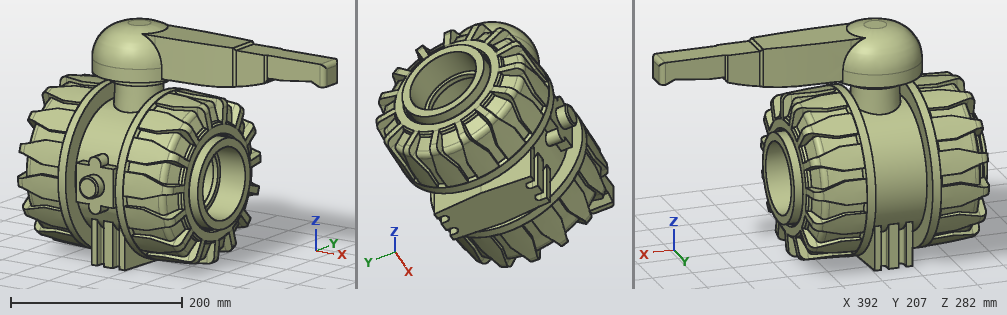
import cadquery as cq
import math


BARREL_RADIUS = 81.0
BARREL_HALF_LENGTH = 78.5
BORE_RADIUS = 38.8
NECK_BASE_RADIUS = 31.0
NECK_BASE_Z = 58.8
NECK_TOP_RADIUS = 28.2
NECK_TOP_Z = 109.5

PAD_HALF_WIDTH = 26.3
PAD_HALF_HEIGHT = 23.5
PAD_FACE_Y = -92.0
LOBE_RADIUS = 8.5
LOBE_CENTRE_Z = 26.0
BUTTON_RADIUS = 13.5
BUTTON_END_Y = -106.0
BUTTON_CHAMFER = 2.0

FOOT_BOTTOM_Z = -105.0
FOOT_HALF_LENGTH = 64.3
FOOT_END_HALF_WIDTH = 23.5
FOOT_MIDDLE_HALF_WIDTH = 27.5
SLOT_CENTRE_X = 11.0
SLOT_RADIUS = 4.7
SLOT_DEPTH = 12.5

NUT_INNER_X = 35.3
FLANGE_OUTER_X = 46.0
NUT_END_X = 110.5
FLANGE_RADIUS = 101.0
FLOOR_START_X = 48.5
FLOOR_START_RADIUS = 97.0
FLOOR_ROUND_X = 91.0
FLOOR_ROUND_RADIUS = 94.0
FLOOR_CORNER_X = 96.5
FLOOR_CORNER_RADIUS = 92.0
FLOOR_CONE_X = 98.5
FLOOR_CONE_RADIUS = 88.0
END_RING_BASE_X = 104.5
END_RING_BASE_RADIUS = 73.0
END_RING_BEVEL_X = 108.0
END_RING_BEVEL_RADIUS = 71.7
END_FACE_RADIUS = 69.5
RIB_START_RADIUS = 100.5
RIB_ROUND_X = 99.0
RIB_ROUND_RADIUS = 98.5
RIB_CORNER_X = 106.0
RIB_CORNER_RADIUS = 96.0
RIB_FACE_X = 109.0
RIB_FACE_RADIUS = 89.5
NUT_BORE_RADIUS = 56.5
NUT_BORE_CHAMFER = 2.0
NUT_SHOULDER_X = 90.0

RIB_COUNT = 15
RIB_WIDE_HALF_WIDTH = 14.5
RIB_TAPER_START_X = 71.7
RIB_TAPER_END_X = 99.0
RIB_NARROW_HALF_WIDTH = 6.0
RIB_TIP_HALF_WIDTH = 4.5

CONNECTOR_END_X = 120.0
CONNECTOR_RADIUS = 54.5
SOCKET_RADIUS = 44.0
SOCKET_DEPTH = 35.3

HUB_RADIUS = 35.3
DOME_RADIUS = 55.2
DOME_BASE_Z = 118.7
DOME_SPRING_Z = 135.0
DOME_TOP_Z = 177.0
DOME_FLAT_RADIUS = 13.5

LEVER_START_X = 19.5
LEVER_TAPER_X = 39.0
LEVER_STEP_START_X = 146.0
LEVER_STEP_END_X = 149.5
GRIP_STEP_START_X = 189.2
GRIP_STEP_END_X = 192.0
LEVER_END_X = 272.0
LEVER_ROOT_HALF_WIDTH = 25.5
LEVER_STEP_HALF_WIDTH = 20.0
LEVER_MIDDLE_HALF_WIDTH = 18.5
GRIP_HALF_WIDTH = 16.0
LEVER_TOP_Z = 172.0
GRIP_TOP_Z = 169.3
LEVER_BOTTOM_Z = 121.5
BELLY_START_X = 105.8
BELLY_STEP_Z = 125.5
BELLY_END_Z = 135.0
GRIP_STEP_Z = 138.7
GRIP_BOTTOM_Z = 141.5
GRIP_HOLLOW_START_X = 211.5
GRIP_HOLLOW_X = 254.3
GRIP_HOLLOW_Z = 146.5
GRIP_LIP_X = 265.5
TIP_ROUND = 6.0


def x_cylinder(radius, start_x, end_x):
    return cq.Workplane("YZ", origin=(start_x, 0, 0)).circle(radius).extrude(end_x - start_x)


def make_pad():
    """Square pad with a round lobe above and below, and a button on its face."""
    depth = -PAD_FACE_Y
    plane = cq.Workplane("XZ")
    pad = plane.rect(2 * PAD_HALF_WIDTH, 2 * PAD_HALF_HEIGHT).extrude(depth)
    lobes = plane.pushPoints([(0, LOBE_CENTRE_Z), (0, -LOBE_CENTRE_Z)]).circle(LOBE_RADIUS).extrude(depth)
    button = plane.circle(BUTTON_RADIUS).extrude(-BUTTON_END_Y).faces("<Y").chamfer(BUTTON_CHAMFER)
    return pad.union(lobes).union(button)


def make_foot():
    """Foot that narrows towards both ends, with two round-bottomed slots in each end."""
    foot = (
        cq.Workplane("XY", origin=(0, 0, FOOT_BOTTOM_Z))
        .moveTo(FOOT_END_HALF_WIDTH, FOOT_HALF_LENGTH)
        .lineTo(FOOT_MIDDLE_HALF_WIDTH, 0)
        .lineTo(FOOT_END_HALF_WIDTH, -FOOT_HALF_LENGTH)
        .lineTo(-FOOT_END_HALF_WIDTH, -FOOT_HALF_LENGTH)
        .lineTo(-FOOT_MIDDLE_HALF_WIDTH, 0)
        .lineTo(-FOOT_END_HALF_WIDTH, FOOT_HALF_LENGTH)
        .close()
        .extrude(-FOOT_BOTTOM_Z)
    )
    slots = (
        cq.Workplane("XY", origin=(0, 0, FOOT_BOTTOM_Z))
        .rarray(2 * SLOT_CENTRE_X, 2 * FOOT_HALF_LENGTH, 2, 2)
        .slot2D(2 * SLOT_DEPTH, 2 * SLOT_RADIUS, 90)
        .extrude(-FOOT_BOTTOM_Z)
    )
    return foot.cut(slots)


def make_housing():
    """Barrel with a conical neck, the mounting pad and the foot, bored through along X."""
    neck = (
        cq.Workplane("XZ")
        .polyline([
            (0, NECK_BASE_Z),
            (NECK_BASE_RADIUS, NECK_BASE_Z),
            (NECK_TOP_RADIUS, NECK_TOP_Z),
            (0, NECK_TOP_Z),
        ])
        .close()
        .revolve(360, (0, 0, 0), (0, 1, 0))
    )
    barrel = x_cylinder(BARREL_RADIUS, -BARREL_HALF_LENGTH, BARREL_HALF_LENGTH)
    bore = x_cylinder(BORE_RADIUS, -BARREL_HALF_LENGTH, BARREL_HALF_LENGTH)
    return barrel.union(neck).union(make_pad()).union(make_foot()).cut(bore)


def make_nut_core():
    """Flange, groove floor, end cone and end ring, turned about the bore axis."""
    return (
        cq.Workplane("XY")
        .moveTo(NUT_INNER_X, 0)
        .lineTo(NUT_INNER_X, FLANGE_RADIUS)
        .lineTo(FLANGE_OUTER_X, FLANGE_RADIUS)
        .lineTo(FLOOR_START_X, FLOOR_START_RADIUS)
        .lineTo(FLOOR_ROUND_X, FLOOR_ROUND_RADIUS)
        .threePointArc((FLOOR_CORNER_X, FLOOR_CORNER_RADIUS), (FLOOR_CONE_X, FLOOR_CONE_RADIUS))
        .lineTo(END_RING_BASE_X, END_RING_BASE_RADIUS)
        .lineTo(END_RING_BEVEL_X, END_RING_BEVEL_RADIUS)
        .lineTo(NUT_END_X, END_FACE_RADIUS)
        .lineTo(NUT_END_X, 0)
        .close()
        .revolve(360, (0, 0, 0), (1, 0, 0))
    )


def make_ribs():
    """Leaf-shaped grip ribs, wide beside the flange and narrow over the nut's end."""
    envelope = (
        cq.Workplane("XY")
        .moveTo(NUT_INNER_X, NUT_BORE_RADIUS)
        .lineTo(NUT_INNER_X, RIB_START_RADIUS)
        .lineTo(FLANGE_OUTER_X, RIB_START_RADIUS)
        .lineTo(RIB_ROUND_X, RIB_ROUND_RADIUS)
        .threePointArc((RIB_CORNER_X, RIB_CORNER_RADIUS), (RIB_FACE_X, RIB_FACE_RADIUS))
        .lineTo(NUT_END_X, END_FACE_RADIUS)
        .lineTo(NUT_END_X, NUT_BORE_RADIUS)
        .close()
        .revolve(360, (0, 0, 0), (1, 0, 0))
    )
    leaf = (
        cq.Workplane("XY")
        .polyline([
            (NUT_INNER_X, -RIB_WIDE_HALF_WIDTH),
            (RIB_TAPER_START_X, -RIB_WIDE_HALF_WIDTH),
            (RIB_TAPER_END_X, -RIB_NARROW_HALF_WIDTH),
            (NUT_END_X, -RIB_TIP_HALF_WIDTH),
            (NUT_END_X, RIB_TIP_HALF_WIDTH),
            (RIB_TAPER_END_X, RIB_NARROW_HALF_WIDTH),
            (RIB_TAPER_START_X, RIB_WIDE_HALF_WIDTH),
            (NUT_INNER_X, RIB_WIDE_HALF_WIDTH),
        ])
        .close()
        .extrude(-FLANGE_RADIUS)
    )
    rib = leaf.intersect(envelope)
    pitch = 360 / RIB_COUNT
    return [rib.rotate((0, 0, 0), (1, 0, 0), index * pitch) for index in range(RIB_COUNT)]


def make_nut():
    """Union nut on the +X side, with one rib at its bottom."""
    nut = make_nut_core()
    for rib in make_ribs():
        nut = nut.union(rib)
    opening = (
        cq.Workplane("XY")
        .polyline([
            (NUT_INNER_X, 0),
            (NUT_INNER_X, BARREL_RADIUS),
            (NUT_SHOULDER_X, BARREL_RADIUS),
            (NUT_SHOULDER_X, NUT_BORE_RADIUS),
            (NUT_END_X - NUT_BORE_CHAMFER, NUT_BORE_RADIUS),
            (NUT_END_X, NUT_BORE_RADIUS + NUT_BORE_CHAMFER),
            (NUT_END_X, 0),
        ])
        .close()
        .revolve(360, (0, 0, 0), (1, 0, 0))
    )
    return nut.cut(opening)


def make_connector():
    """Pipe connector on the +X side: a collar held by the nut and a socketed spigot."""
    collar = x_cylinder(BARREL_RADIUS, BARREL_HALF_LENGTH, NUT_SHOULDER_X)
    spigot = x_cylinder(CONNECTOR_RADIUS, BARREL_HALF_LENGTH, CONNECTOR_END_X)
    bore = x_cylinder(BORE_RADIUS, BARREL_HALF_LENGTH, CONNECTOR_END_X)
    socket = x_cylinder(SOCKET_RADIUS, CONNECTOR_END_X - SOCKET_DEPTH, CONNECTOR_END_X)
    return collar.union(spigot).cut(bore).cut(socket)


def make_dome():
    """Hub and domed cap, turned about the stem axis."""
    dome_round = DOME_RADIUS - DOME_FLAT_RADIUS
    dome_height = DOME_TOP_Z - DOME_SPRING_Z
    middle = math.sqrt(0.5)
    return (
        cq.Workplane("XZ")
        .moveTo(0, NECK_TOP_Z)
        .lineTo(HUB_RADIUS, NECK_TOP_Z)
        .lineTo(HUB_RADIUS, DOME_BASE_Z)
        .lineTo(DOME_RADIUS, DOME_BASE_Z)
        .lineTo(DOME_RADIUS, DOME_SPRING_Z)
        .threePointArc(
            (DOME_FLAT_RADIUS + dome_round * middle, DOME_SPRING_Z + dome_height * middle),
            (DOME_FLAT_RADIUS, DOME_TOP_Z),
        )
        .lineTo(0, DOME_TOP_Z)
        .close()
        .revolve(360, (0, 0, 0), (0, 1, 0))
    )


def make_lever():
    """Lever shaped by its side outline and its plan outline together."""
    side = (
        cq.Workplane("XZ")
        .moveTo(LEVER_START_X, LEVER_TOP_Z)
        .lineTo(LEVER_STEP_START_X, LEVER_TOP_Z)
        .lineTo(LEVER_STEP_END_X, GRIP_TOP_Z)
        .lineTo(LEVER_END_X, GRIP_TOP_Z)
        .lineTo(LEVER_END_X, GRIP_BOTTOM_Z)
        .lineTo(GRIP_LIP_X, GRIP_BOTTOM_Z)
        .lineTo(GRIP_HOLLOW_X, GRIP_HOLLOW_Z)
        .lineTo(GRIP_HOLLOW_START_X, GRIP_BOTTOM_Z)
        .lineTo(GRIP_STEP_END_X, GRIP_BOTTOM_Z)
        .lineTo(GRIP_STEP_END_X, GRIP_STEP_Z)
        .lineTo(GRIP_STEP_START_X, BELLY_END_Z)
        .threePointArc((LEVER_STEP_END_X, BELLY_STEP_Z), (BELLY_START_X, LEVER_BOTTOM_Z))
        .lineTo(LEVER_START_X, LEVER_BOTTOM_Z)
        .close()
        .extrude(LEVER_ROOT_HALF_WIDTH, both=True)
    )
    plan_half = (
        cq.Workplane("XY")
        .moveTo(LEVER_START_X, 0)
        .lineTo(LEVER_START_X, LEVER_ROOT_HALF_WIDTH)
        .lineTo(LEVER_TAPER_X, LEVER_ROOT_HALF_WIDTH)
        .tangentArcPoint((LEVER_STEP_START_X, LEVER_STEP_HALF_WIDTH), relative=False)
        .lineTo(LEVER_STEP_END_X, LEVER_MIDDLE_HALF_WIDTH)
        .lineTo(GRIP_STEP_START_X, LEVER_MIDDLE_HALF_WIDTH)
        .lineTo(GRIP_STEP_END_X, GRIP_HALF_WIDTH)
        .lineTo(LEVER_END_X, GRIP_HALF_WIDTH)
        .lineTo(LEVER_END_X, 0)
        .close()
        .extrude(DOME_TOP_Z)
    )
    plan = plan_half.union(plan_half.mirror("XZ"))
    lever = side.intersect(plan)
    return lever.faces(">X").edges("|Z or >Z").fillet(TIP_ROUND)


def at_both_ends(body):
    """One copy of a +X body at each end; the -X copy is turned half round about Y."""
    return [body.rotate((0, 0, 0), (0, 1, 0), turn).val() for turn in (0, 180)]


housing = make_housing()
nuts = at_both_ends(make_nut())
connectors = at_both_ends(make_connector())
handle = make_dome().union(make_lever())

result = cq.Compound.makeCompound([housing.val(), *nuts, *connectors, handle.val()])